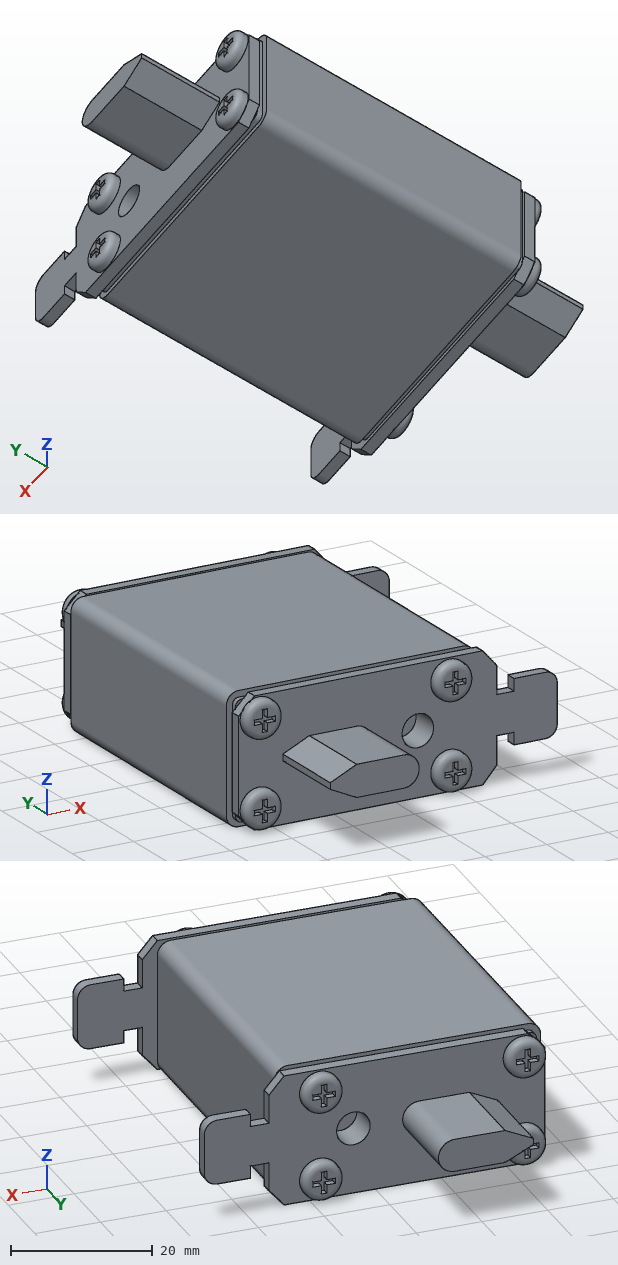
import cadquery as cq


body_width = 40.5
body_length = 44.2
body_height = 20.5
body_corner_radius = 2.0

spacer_inset = 1.0
spacer_thickness = 0.9

plate_thickness = 1.8
plate_height = 20.2
plate_left = -19.8
plate_right = 22.2
plate_chamfer_left = 2.6
plate_chamfer_right = 2.3
plate_chamfer_height = 2.6
neck_height = 6.2
tab_left = 25.0
tab_right = 32.05
tab_height = 10.0
tab_corner_radius = 2.0

hole_x = 9.35
hole_diameter = 5.1
hole_depth = 5.0

overall_length = 76.6
blade_tip_x = -12.6
blade_shoulder_x = -8.3
blade_tip_height = 1.0
blade_thickness = 5.0
blade_round_x = -0.65

screw_x_positions = (-16.5, 14.5)
screw_spacing_z = 13.6
head_diameter = 6.1
head_height = 1.75
head_edge_radius = 1.0
recess_span = 3.4
recess_width = 0.8
recess_depth = 1.0

body_end = body_length / 2
plate_inner = body_end + spacer_thickness
plate_outer = plate_inner + plate_thickness
blade_end = overall_length / 2


def rounded_block(width, height, length, radius):
    """Block centred on the origin with its edges along Y rounded."""
    return cq.Workplane("XY").box(width, length, height).edges("|Y").fillet(radius)


def extrude_toward_front(sketch_points, y_start, depth):
    """Closed XZ polygon extruded from y_start toward -Y."""
    return cq.Workplane("XZ", origin=(0, y_start, 0)).polyline(sketch_points).close().extrude(depth)


def make_plate():
    half_plate = plate_height / 2
    half_neck = neck_height / 2
    half_tab = tab_height / 2
    chamfer_z = half_plate - plate_chamfer_height
    upper = [
        (plate_left, chamfer_z),
        (plate_left + plate_chamfer_left, half_plate),
        (plate_right - plate_chamfer_right, half_plate),
        (plate_right, chamfer_z),
        (plate_right, half_neck),
        (tab_left, half_neck),
        (tab_left, half_tab),
        (tab_right, half_tab),
    ]
    lower = [(x, -z) for x, z in reversed(upper)]
    plate = extrude_toward_front(upper + lower, -plate_inner, plate_thickness)
    return plate.edges("|Y and >X").fillet(tab_corner_radius)


def make_blade():
    half_tip = blade_tip_height / 2
    half_blade = blade_thickness / 2
    return (
        cq.Workplane("XZ", origin=(0, -plate_inner, 0))
        .moveTo(blade_tip_x, half_tip)
        .lineTo(blade_shoulder_x, half_blade)
        .lineTo(blade_round_x, half_blade)
        .threePointArc((blade_round_x + half_blade, 0), (blade_round_x, -half_blade))
        .lineTo(blade_shoulder_x, -half_blade)
        .lineTo(blade_tip_x, -half_tip)
        .close()
        .extrude(blade_end - plate_inner)
    )


def make_screw_head(x, z):
    head = (
        cq.Workplane("XZ", origin=(x, -plate_outer, z))
        .circle(head_diameter / 2)
        .extrude(head_height)
        .faces("<Y").edges().fillet(head_edge_radius)
    )
    recess_floor = cq.Workplane("XZ", origin=(x, -plate_outer - head_height + recess_depth, z))
    for arm_width, arm_height in ((recess_span, recess_width), (recess_width, recess_span)):
        head = head.cut(recess_floor.rect(arm_width, arm_height).extrude(recess_depth))
    return head


def make_hole():
    return (
        cq.Workplane("XZ", origin=(hole_x, -plate_outer + hole_depth, 0))
        .circle(hole_diameter / 2)
        .extrude(hole_depth)
    )


def make_front_end():
    end = make_plate().union(make_blade())
    for x in screw_x_positions:
        for z in (-screw_spacing_z / 2, screw_spacing_z / 2):
            end = end.union(make_screw_head(x, z))
    return end


body = rounded_block(body_width, body_height, body_length, body_corner_radius)
spacers = rounded_block(
    body_width - 2 * spacer_inset,
    body_height - 2 * spacer_inset,
    2 * plate_inner,
    body_corner_radius - spacer_inset,
)
front_end = make_front_end()
front_hole = make_hole()

result = body.union(spacers)
result = result.union(front_end).union(front_end.mirror("XZ"))
result = result.cut(front_hole).cut(front_hole.mirror("XZ"))